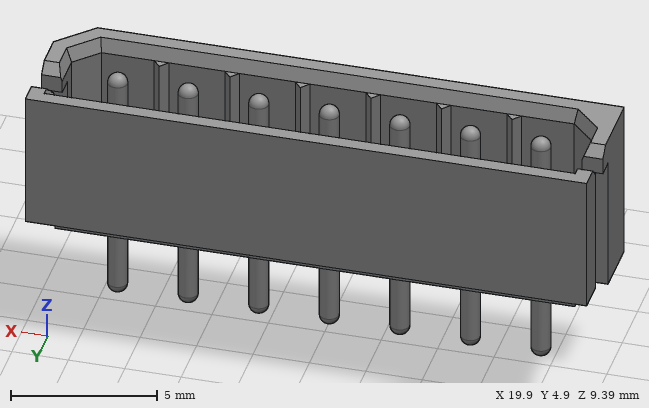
import cadquery as cq

LENGTH = 19.9
DEPTH = 4.9
HEIGHT = 5.93
OUTER_CORNER_CUT = 1.23

BASE_DEPTH = 3.75
REAR_WALL_BOTTOM = 0.9

FLOOR_HEIGHT = 1.91
END_WALL = 0.74
FRONT_WALL = 0.74
REAR_WALL = 0.7
CAVITY_CORNER_CUT = 0.84
RIM_CUT_WIDTH = 0.2
RIM_CUT_DEPTH = 0.5

SLOT_FRONT = 2.1
MOUTH_FRONT = 2.79
LIP_BOTTOM = 4.98
MOUTH_BEVEL = 0.35

PIN_COUNT = 7
PIN_END_MARGIN = 2.45
PIN_PITCH = (LENGTH - 2 * PIN_END_MARGIN) / (PIN_COUNT - 1)
PIN_DIAMETER = 0.7
PIN_Y = 1.85
PIN_BOTTOM = -3.46
PIN_TOP = 5.43

RIB_WIDTH = 0.52
RIB_DEPTH = 0.3

RIM_BOTTOM = HEIGHT - RIM_CUT_DEPTH


def row(count):
    """X positions of features spaced at the pin pitch and centred on X = 0."""
    return [(i - (count - 1) / 2) * PIN_PITCH for i in range(count)]


def make_block():
    """Outer block with its bevelled corner and the step below the rear wall."""
    block = cq.Workplane("XY").box(LENGTH, DEPTH, HEIGHT, centered=(True, False, False))
    block = block.edges("|Z and >X and <Y").chamfer(OUTER_CORNER_CUT)
    step = (
        cq.Workplane("XY")
        .box(LENGTH, DEPTH - BASE_DEPTH, REAR_WALL_BOTTOM, centered=(True, False, False))
        .translate((0, BASE_DEPTH, 0))
    )
    return block.cut(step)


def cavity_outline(z):
    """Rectangle of the cavity with its front corners bevelled, at height z."""
    half_length = LENGTH / 2 - END_WALL
    rear = DEPTH - REAR_WALL
    return cq.Workplane("XY", origin=(0, 0, z)).polyline([
        (-half_length, rear),
        (-half_length, FRONT_WALL + CAVITY_CORNER_CUT),
        (-half_length + CAVITY_CORNER_CUT, FRONT_WALL),
        (half_length - CAVITY_CORNER_CUT, FRONT_WALL),
        (half_length, FRONT_WALL + CAVITY_CORNER_CUT),
        (half_length, rear),
    ]).close()


def make_cavity():
    """Cavity volume that flares outward at its mouth."""
    well = cavity_outline(FLOOR_HEIGHT).extrude(HEIGHT - FLOOR_HEIGHT)
    lower = cavity_outline(RIM_BOTTOM).val()
    upper = lower.offset2D(RIM_CUT_WIDTH, "intersection")[0]
    upper = upper.translate(cq.Vector(0, 0, RIM_CUT_DEPTH))
    flare = cq.Solid.makeLoft([lower, upper], True)
    return well.union(cq.Workplane(flare))


def make_end_cuts():
    """Slot openings in the end walls and the recesses beside the base below them."""
    slot = (
        cq.Workplane("YZ", origin=(-LENGTH / 2, 0, 0))
        .polyline([
            (SLOT_FRONT, 0),
            (BASE_DEPTH, 0),
            (BASE_DEPTH, HEIGHT - MOUTH_BEVEL),
            (BASE_DEPTH + MOUTH_BEVEL, HEIGHT),
            (MOUTH_FRONT - MOUTH_BEVEL, HEIGHT),
            (MOUTH_FRONT, HEIGHT - MOUTH_BEVEL),
            (MOUTH_FRONT, LIP_BOTTOM),
            (SLOT_FRONT, LIP_BOTTOM),
        ])
        .close()
        .extrude(END_WALL)
    )
    return slot.union(slot.mirror("YZ"))


def make_rib(x):
    """Upright triangular rib rising from the floor to the bevelled rim."""
    return (
        cq.Workplane("XY", origin=(x, FRONT_WALL, FLOOR_HEIGHT))
        .polyline([(-RIB_WIDTH / 2, 0), (RIB_WIDTH / 2, 0), (0, RIB_DEPTH)])
        .close()
        .extrude(RIM_BOTTOM - FLOOR_HEIGHT)
    )


def make_pin(x):
    """Round pin with a hemisphere at each end."""
    radius = PIN_DIAMETER / 2
    return (
        cq.Workplane("XZ", origin=(x, PIN_Y, 0))
        .moveTo(0, PIN_BOTTOM)
        .radiusArc((radius, PIN_BOTTOM + radius), -radius)
        .lineTo(radius, PIN_TOP - radius)
        .radiusArc((0, PIN_TOP), -radius)
        .close()
        .revolve(360, (0, 0), (0, 1))
    )


result = make_block().cut(make_cavity()).cut(make_end_cuts())

for rib_x in row(PIN_COUNT - 1):
    result = result.union(make_rib(rib_x))

for pin_x in row(PIN_COUNT):
    result = result.union(make_pin(pin_x))